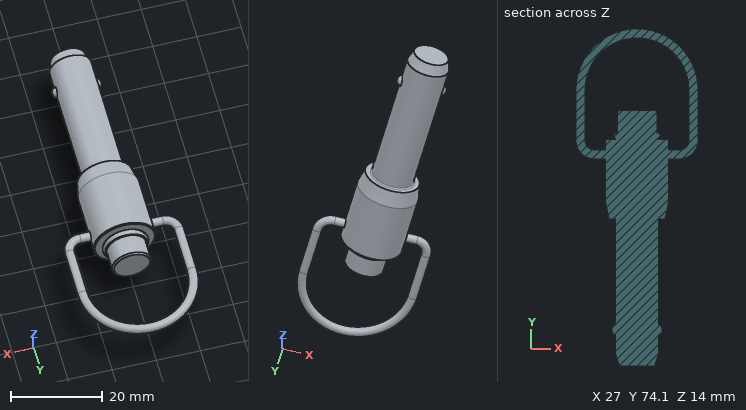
import cadquery as cq
import math

shank_diameter = 9.55
tip_diameter = 7.85
tip_taper_length = 2.5

housing_diameter = 14.0
housing_nose_diameter = 12.45
housing_start = 32.2
housing_taper_length = 3.6
housing_end = 49.8
housing_rim_chamfer = 0.2
root_fillet = 0.3

collar_diameter = 10.4
collar_height = 1.3
collar_edge_diameter = 9.6
button_diameter = 8.9
button_end = 56.1
button_chamfer = 0.4

ball_radius = 1.4
ball_position = 8.0
ball_reach = 5.6

overall_length = 74.05
ring_width = 26.95
wire_diameter = 2.2
ring_bend_radius = 3.0
ring_leg_position = 46.4


def cylinder(diameter, start, end):
    """Solid cylinder on the pin axis between two Y positions."""
    plane = cq.Workplane("XZ", origin=(0, start, 0))
    return plane.circle(diameter / 2).extrude(start - end)


def make_shank():
    """Shank with a tapered tip, running into the housing."""
    taper_depth = (shank_diameter - tip_diameter) / 2
    shank = cylinder(shank_diameter, 0, housing_end)
    return shank.faces("<Y").chamfer(tip_taper_length, taper_depth)


def make_housing():
    """Housing barrel with a tapered nose toward the shank."""
    taper_depth = (housing_diameter - housing_nose_diameter) / 2
    housing = cylinder(housing_diameter, housing_start, housing_end)
    housing = housing.faces("<Y").chamfer(housing_taper_length, taper_depth)
    return housing.faces(">Y").chamfer(housing_rim_chamfer)


def make_root_fillet():
    """Concave fillet where the shank meets the housing nose."""
    shank_radius = shank_diameter / 2
    center_radius = shank_radius + root_fillet
    center_y = housing_start - root_fillet
    arc_offset = root_fillet * math.sqrt(0.5)
    profile = (
        cq.Workplane("XY")
        .moveTo(0, center_y)
        .lineTo(shank_radius, center_y)
        .threePointArc(
            (center_radius - arc_offset, center_y + arc_offset),
            (center_radius, housing_start),
        )
        .lineTo(0, housing_start)
        .close()
    )
    return profile.revolve(360, (0, 0, 0), (0, 1, 0))


def make_collar():
    """Collar behind the housing, with a rounded rim."""
    collar_end = housing_end + collar_height
    edge_radius = collar_edge_diameter / 2
    rim_middle = (collar_diameter / 2, housing_end + collar_height / 2)
    profile = (
        cq.Workplane("XY")
        .moveTo(0, housing_end)
        .lineTo(edge_radius, housing_end)
        .threePointArc(rim_middle, (edge_radius, collar_end))
        .lineTo(0, collar_end)
        .close()
    )
    return profile.revolve(360, (0, 0, 0), (0, 1, 0))


def make_button():
    """Release button standing out of the collar."""
    button = cylinder(button_diameter, housing_start, button_end)
    return button.faces(">Y").chamfer(button_chamfer)


def make_ball(side):
    """Locking ball on one side of the shank."""
    center = (side * (ball_reach - ball_radius), ball_position, 0)
    return cq.Workplane("XY").sphere(ball_radius).translate(center)


def make_ring():
    """Round wire pull ring, with both legs ending inside the housing."""
    half_width = (ring_width - wire_diameter) / 2
    arch_base = overall_length - ring_width / 2
    arch_top = arch_base + half_width
    leg_end = housing_diameter / 4
    bend_x = half_width - ring_bend_radius
    bend_y = ring_leg_position + ring_bend_radius
    path = (
        cq.Workplane("XY")
        .moveTo(-leg_end, ring_leg_position)
        .lineTo(-bend_x, ring_leg_position)
        .tangentArcPoint((-half_width, bend_y), relative=False)
        .lineTo(-half_width, arch_base)
        .threePointArc((0, arch_top), (half_width, arch_base))
        .lineTo(half_width, bend_y)
        .tangentArcPoint((bend_x, ring_leg_position), relative=False)
        .lineTo(leg_end, ring_leg_position)
    )
    section = cq.Workplane("YZ", origin=(-leg_end, ring_leg_position, 0))
    return section.circle(wire_diameter / 2).sweep(path)


result = make_shank().union(make_housing()).union(make_root_fillet())
result = result.union(make_collar()).union(make_button()).union(make_ring())
for side in (-1, 1):
    result = result.union(make_ball(side))